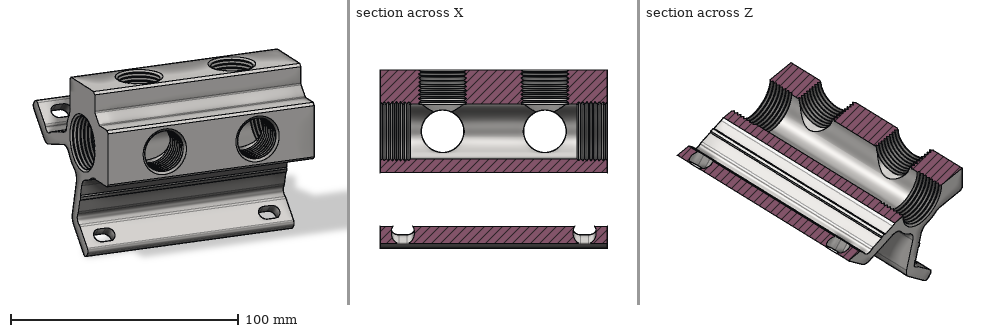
import cadquery as cq
import math

OVERALL = 78.5
LENGTH = 100.0

BLOCK_REACH = 27.0
BLOCK_HALF_WIDTH = 13.0
BLOCK_CHAMFER = 1.2
NECK_START = 17.8
NECK_FILLET = 1.0
BARREL_RADIUS = 16.6
BLEND_RADIUS = 5.0

WEB_ANGLE = math.radians(15)
LIP_ANGLE = math.radians(135)
WEB_TOP = 4.5
LIP_TOP = -29.5
FLANGE_THICKNESS = 5.5
TIP_FILLET = 2.0
BEND_FILLET = 5.0
RELIEF_RADIUS = 3.0
RELIEF_DEPTH = 0.5
RELIEF_EDGE_FILLET = 3.0

RIB_INNER_FOOT = 24.4
RIB_OUTER_FOOT = 27.0
RIB_HEIGHT = 0.5
RIB_INNER_RUN = 0.6
RIB_OUTER_RUN = 0.5

SLOT_LENGTH = 10.0
SLOT_WIDTH = 6.4
SLOT_FROM_AXIS = 31.6
SLOT_SPACING = 80.0

BORE_MINOR = 24.0
BORE_MAJOR = 26.0
PORT_MINOR = 18.6
PORT_MAJOR = 21.0
PORT_SPACING = 45.0
THREAD_PITCH = 1.8
BORE_TURNS = 7
PORT_TURNS = 8
THREAD_CREST = 0.3

WEB_BOTTOM = WEB_TOP - FLANGE_THICKNESS
LIP_BOTTOM = LIP_TOP - FLANGE_THICKNESS


def web_point(distance, height):
    """Point at a distance outward along the web and a height above the bore axis."""
    return (
        -distance * math.cos(WEB_ANGLE) - height * math.sin(WEB_ANGLE),
        -distance * math.sin(WEB_ANGLE) + height * math.cos(WEB_ANGLE),
    )


def lip_point(distance, height):
    """Point at a distance up the lip from the symmetry plane and a height above the bore axis."""
    return (
        distance * math.cos(LIP_ANGLE) + height * math.sin(LIP_ANGLE),
        distance * math.sin(LIP_ANGLE) - height * math.cos(LIP_ANGLE),
    )


def bend_distance(web_height, lip_height):
    """Distance along the web to where a line parallel to it meets a line parallel to the lip."""
    turn = LIP_ANGLE - WEB_ANGLE
    return (-web_height * math.cos(turn) - lip_height) / math.sin(turn)


def bend_point(web_height, lip_height):
    return web_point(bend_distance(web_height, lip_height), web_height)


def swapped(points):
    """Reflect section points in the symmetry plane x = z."""
    return [(z, x) for x, z in points]


def mirrored(body):
    """Reflect a body in the symmetry plane x = z."""
    return body.mirror((1, 0, -1))


def extrude_section(points):
    return cq.Workplane("XZ").polyline(points).close().extrude(LENGTH / 2, both=True)


def extrude_circle(radius, center=(0, 0)):
    return cq.Workplane("XZ").center(*center).circle(radius).extrude(LENGTH / 2, both=True)


def lengthwise_edge(body, point):
    x, z = point
    return body.edges("|Y").edges(cq.selectors.NearestToPointSelector((x, 0, z)))


def fillet_edges(body, points, radius):
    for point in points:
        body = lengthwise_edge(body, point).fillet(radius)
    return body


def make_block():
    reach = BLOCK_REACH
    half = BLOCK_HALF_WIDTH
    corners = [(-half, reach), (half, reach)]
    neck = [(half, NECK_START)]
    upper_arm = [(-half, 0)] + corners + neck
    outline = upper_arm + swapped(upper_arm)[::-1]
    block = extrude_section(outline)
    for corner in corners + swapped(corners):
        block = lengthwise_edge(block, corner).chamfer(BLOCK_CHAMFER)
    block = fillet_edges(block, neck + swapped(neck), NECK_FILLET)
    return block.union(extrude_circle(BARREL_RADIUS))


def make_flange():
    tip_corner_x = BLOCK_REACH - OVERALL - TIP_FILLET * (math.sqrt(2) - 1)
    tip_distance = LIP_BOTTOM - tip_corner_x * math.sqrt(2)
    tip_corners = [lip_point(tip_distance, LIP_TOP), lip_point(tip_distance, LIP_BOTTOM)]
    outer_bend = bend_point(WEB_BOTTOM, LIP_BOTTOM)
    rib = [
        web_point(RIB_INNER_FOOT, WEB_TOP),
        web_point(RIB_INNER_FOOT + RIB_INNER_RUN, WEB_TOP + RIB_HEIGHT),
        web_point(RIB_OUTER_FOOT - RIB_OUTER_RUN, WEB_TOP + RIB_HEIGHT),
        web_point(RIB_OUTER_FOOT, WEB_TOP),
    ]
    root_top = [web_point(0, WEB_TOP)]
    root_bottom = [web_point(0, WEB_BOTTOM)]
    inner_bend = [bend_point(WEB_TOP, LIP_TOP)]
    flange = extrude_section(root_top + rib + inner_bend + tip_corners + [outer_bend] + root_bottom)
    flange = fillet_edges(flange, tip_corners, TIP_FILLET)
    flange = fillet_edges(flange, [outer_bend], BEND_FILLET)
    return cut_bend_relief(flange)


def cut_bend_relief(flange):
    """Round groove inside the bend, blended into the web and the lip."""
    rise = RELIEF_RADIUS - RELIEF_DEPTH
    half_width = math.sqrt(RELIEF_RADIUS**2 - rise**2)
    web_height = WEB_TOP + rise
    lip_height = LIP_TOP + rise
    center_x, center_z = bend_point(web_height, lip_height)
    flange = flange.cut(extrude_circle(RELIEF_RADIUS, (center_x, center_z)))
    web_edge = web_point(bend_distance(web_height, lip_height) - half_width, WEB_TOP)
    center_up_lip = (center_z - center_x) / math.sqrt(2)
    lip_edge = lip_point(center_up_lip + half_width, LIP_TOP)
    return fillet_edges(flange, [web_edge, lip_edge], RELIEF_EDGE_FILLET)


def blend_joints(body):
    """Round the inner corners where the barrel meets the block and the flanges."""
    joints = [(-BLOCK_HALF_WIDTH, math.sqrt(BARREL_RADIUS**2 - BLOCK_HALF_WIDTH**2))]
    for height in (WEB_TOP, WEB_BOTTOM):
        joints.append(web_point(math.sqrt(BARREL_RADIUS**2 - height**2), height))
    return fillet_edges(body, joints + swapped(joints), BLEND_RADIUS)


def make_slots():
    """Round-ended cutters running square to the lip."""
    lip_middle = (LIP_TOP + LIP_BOTTOM) / 2
    x, z = lip_point(SLOT_FROM_AXIS, lip_middle)
    lip_plane = cq.Plane(origin=(x, 0, z), xDir=(0, 1, 0), normal=(1, 0, 1))
    return (
        cq.Workplane(lip_plane)
        .pushPoints([(-SLOT_SPACING / 2, 0), (SLOT_SPACING / 2, 0)])
        .slot2D(SLOT_LENGTH, SLOT_WIDTH)
        .extrude(FLANGE_THICKNESS, both=True)
    )


def make_threaded_hole(minor, major, length, turns):
    """Cutter from the bore axis up along Z: a hole with ring-shaped thread grooves at its mouth."""
    inner = minor / 2
    outer = major / 2
    half_groove = (THREAD_PITCH - THREAD_CREST) / 2
    profile = [(0, length), (outer, length), (inner, length - half_groove)]
    for turn in range(1, turns + 1):
        root = length - turn * THREAD_PITCH
        profile += [(inner, root + half_groove), (outer, root), (inner, root - half_groove)]
    profile += [(inner, 0), (0, 0)]
    return cq.Workplane("XZ").polyline(profile).close().revolve(360, (0, 0), (0, 1))


def make_bore():
    half_bore = make_threaded_hole(BORE_MINOR, BORE_MAJOR, LENGTH / 2, BORE_TURNS)
    half_bore = half_bore.rotate((0, 0, 0), (1, 0, 0), 90)
    return half_bore.union(half_bore.mirror("XZ"))


def make_ports():
    port = make_threaded_hole(PORT_MINOR, PORT_MAJOR, BLOCK_REACH, PORT_TURNS)
    offset = (0, PORT_SPACING / 2, 0)
    return port.translate(offset).union(port.translate(offset).mirror("XZ"))


flange = make_flange().cut(make_slots())
ports = make_ports()

result = make_block().union(flange).union(mirrored(flange))
result = blend_joints(result)
result = result.cut(make_bore()).cut(ports).cut(mirrored(ports))